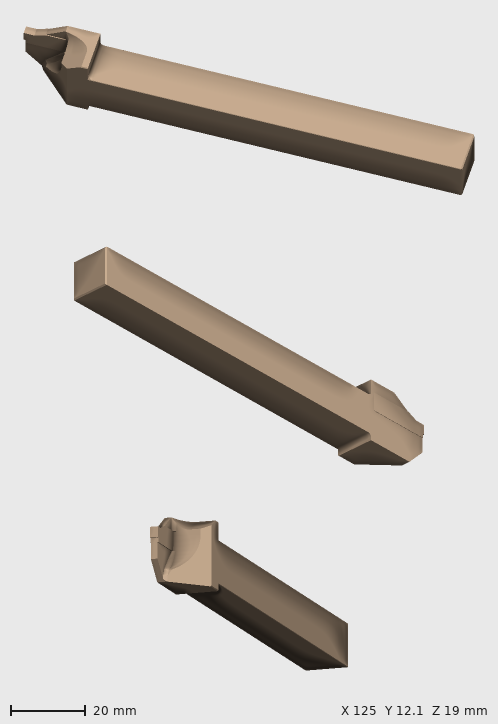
import cadquery as cq
import math

length = 125.0
head_height = 19.0
body_depth = 12.0
clear = 1.2

shank_bottom = 2.0
shank_top = 14.0
end_chamfer = 0.4
head_edge_chamfer = 0.2
shank_edge_chamfer = 0.1
shoulder_radius = 1.1

head_end = 20.8
nose_x = 0.5
nose_bottom = 5.2
heel_x = 5.6
crest_x = 11.6
kink_x = 6.9
kink_z = 15.9

insert_bottom = 9.8
insert_top = 15.4
insert_front = 9.9
insert_back = 12.1
insert_end = 19.6
tip_bottom = 11.0
tip_top = shank_top
tip_land = 3.0
insert_slope_end = 6.1

plate_front = 10.1
bowl_floor = 9.1
bowl_x = 12.8
bowl_radius = 12.1
bowl_tangent_z = shank_top
bowl_end_z = 3.5
bevel_x = 15.0
ledge_x = 5.8
ledge_z = 1.6
plate_wall_z = 9.8
plate_corner_z = 3.8
plate_corner_x = 6.0
plate_toe_x = 5.0

groove_start_x = 12.6
groove_start_z = 15.5
groove_angle = 29.0
groove_flat = 5.2
groove_radius = 5.0
groove_length = 25.0


def xz_plane(y):
    """Sketch plane at the given Y whose normal points toward +Y; its local x is -X."""
    return cq.Workplane(cq.Plane(origin=(0, y, 0), xDir=(-1, 0, 0), normal=(0, 1, 0)))


def mirrored(points):
    """Express X, Z points in the local coordinates of xz_plane."""
    return [(-x, z) for x, z in points]


def make_blank():
    head = xz_plane(0).polyline(mirrored([
        (nose_x, nose_bottom),
        (heel_x, 0),
        (head_end, 0),
        (head_end, head_height),
        (crest_x, head_height),
        (kink_x, kink_z),
        (insert_slope_end, insert_top),
        (nose_x, insert_top),
    ])).close().extrude(body_depth)
    shank = cq.Workplane().box(
        length - bevel_x, body_depth, shank_top - shank_bottom, centered=False
    ).translate((bevel_x, 0, shank_bottom))
    shank = shank.faces(">X").chamfer(end_chamfer)
    shank = shank.edges("|X and <Y").chamfer(shank_edge_chamfer)
    head = head.edges("|X and <Y").chamfer(head_edge_chamfer)
    blank = head.union(shank)
    reach = head_edge_chamfer / 2
    corners = cq.selectors.BoxSelector(
        (head_end - reach, -clear, shank_bottom - reach),
        (head_end + reach, body_depth + clear, shank_top + reach),
    )
    return blank.edges("|Y").edges(corners).fillet(shoulder_radius)


def make_bevel():
    """Triangular wedge taken off the front of the head."""
    run = bevel_x - ledge_x
    extra = clear * run / bowl_floor
    return cq.Workplane().workplane(offset=-clear).polyline([
        (bevel_x + extra, -clear),
        (ledge_x, bowl_floor),
        (-clear, bowl_floor),
        (-clear, -clear),
    ]).close().extrude(head_height + 2 * clear)


def bowl_outline(y):
    top = head_height + clear
    center_x = bowl_x - bowl_radius

    def arc_point(drop):
        return (-center_x - math.sqrt(bowl_radius**2 - drop**2), bowl_tangent_z - drop)

    end_drop = bowl_tangent_z - bowl_end_z
    return (
        xz_plane(y).moveTo(-bowl_x, top)
        .lineTo(-bowl_x, bowl_tangent_z)
        .threePointArc(arc_point(end_drop / 2), arc_point(end_drop))
        .lineTo(-ledge_x, ledge_z)
        .lineTo(-ledge_x, -clear)
        .lineTo(clear, -clear)
        .lineTo(clear, top)
        .close()
    )


def make_bowl():
    """Round-walled recess whose wall slopes inward over the last step to the blade plate."""
    top = head_height + clear
    recess = bowl_outline(-clear).extrude(bowl_floor + clear)
    plate = xz_plane(plate_front).polyline(mirrored([
        (crest_x, top),
        (crest_x, plate_wall_z),
        (plate_corner_x, plate_corner_z),
        (plate_toe_x, ledge_z),
        (plate_toe_x, -clear),
        (-clear, -clear),
        (-clear, top),
    ])).close()
    step = cq.Solid.makeLoft([bowl_outline(bowl_floor).wire().val(), plate.wire().val()], True)
    return recess, cq.Workplane(step)


def make_groove():
    """Flat-floored groove with one round side, rising toward +X."""
    slope = math.radians(groove_angle)
    direction = cq.Vector(math.cos(slope), 0, math.sin(slope))
    start = cq.Vector(groove_start_x, 0, groove_start_z) - direction * clear
    plane = cq.Plane(origin=start, xDir=(0, 1, 0), normal=direction)
    bend = groove_radius * math.sqrt(0.5)
    return (
        cq.Workplane(plane).moveTo(-clear, 0)
        .lineTo(groove_flat, 0)
        .threePointArc(
            (groove_flat + bend, groove_radius - bend),
            (groove_flat + groove_radius, groove_radius),
        )
        .lineTo(-clear, groove_radius)
        .close()
        .extrude(groove_length)
    )


def make_insert():
    return xz_plane(insert_front).polyline(mirrored([
        (0, tip_top),
        (0, tip_bottom),
        (nose_x, tip_bottom),
        (nose_x, insert_bottom),
        (insert_end, insert_bottom),
        (insert_end, insert_top),
        (insert_slope_end, insert_top),
        (tip_land, tip_top),
    ])).close().extrude(insert_back - insert_front)


def make_holder():
    holder = make_blank().cut(make_bevel())
    for cutter in make_bowl():
        holder = holder.cut(cutter)
    holder = holder.cut(make_groove())
    seat = cq.Workplane().box(
        insert_end + clear, body_depth, insert_top - insert_bottom, centered=False
    ).translate((-clear, insert_front, insert_bottom))
    seat_opening = bowl_outline(bowl_floor).extrude(insert_front - bowl_floor).intersect(
        seat.translate((0, bowl_floor - insert_front, 0))
    )
    return holder.cut(seat).cut(seat_opening)


holder = make_holder()
insert = make_insert()

result = cq.Compound.makeCompound([*holder.vals(), insert.val()])